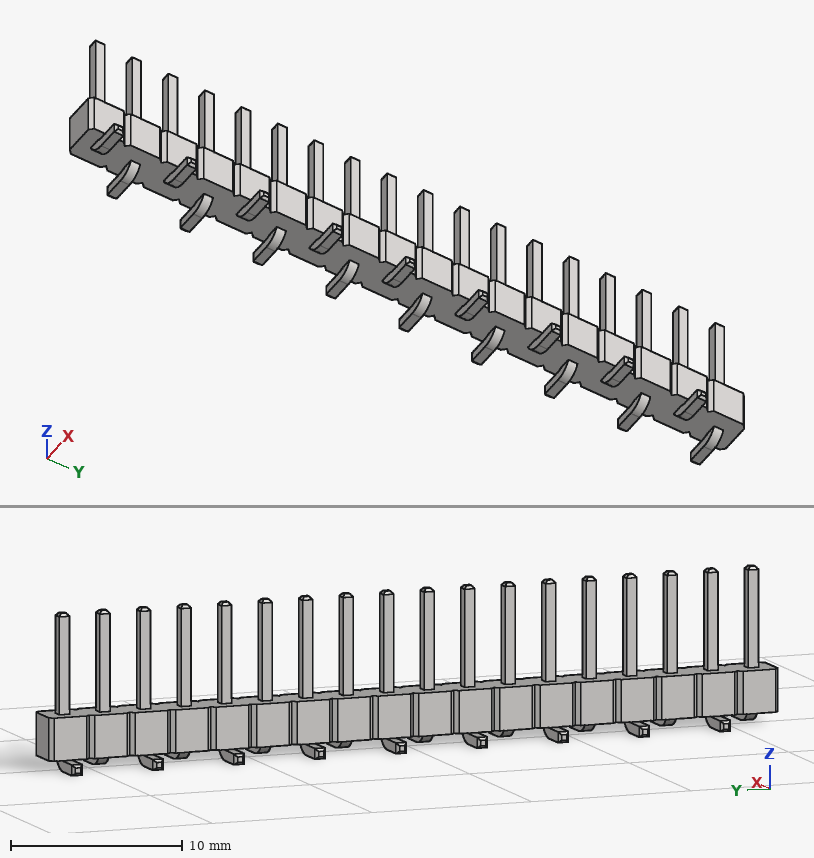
import cadquery as cq
import math

strip_length = 45.7
leg_span = 5.0
total_height = 9.3
pin_count = 18
pitch = strip_length / pin_count

body_width = 2.5
body_height = 2.55
body_bottom = 0.75
corner_chamfer = 0.25

pin_size = 0.65
tip_length = 0.2
tip_inset = 0.16
inner_bend_radius = 0.6

half_pin = pin_size / 2
leg_reach = leg_span / 2
outer_bend_radius = inner_bend_radius + pin_size
bend_center_x = -half_pin - inner_bend_radius
bend_center_z = outer_bend_radius


def body_segment(y_center):
    """One block of the body with its four vertical edges chamfered."""
    return (
        cq.Workplane("XY")
        .box(body_width, pitch, body_height, centered=(True, True, False))
        .edges("|Z")
        .chamfer(corner_chamfer)
        .translate((0, y_center, body_bottom))
    )


def tapered_tip(plane):
    """Four-sided taper at the end of a pin, standing on the given plane."""
    end_size = pin_size - 2 * tip_inset
    return (
        cq.Workplane(plane)
        .rect(pin_size, pin_size)
        .workplane(offset=tip_length)
        .rect(end_size, end_size)
        .loft(ruled=True)
    )


def bend_middle(radius):
    """Point halfway round the quarter bend, at the given radius."""
    reach = radius * math.sqrt(0.5)
    return (bend_center_x + reach, bend_center_z - reach)


def bent_pin():
    """Upright pin with its leg pointing to -X, joined by a concentric quarter bend."""
    leg_shoulder = -(leg_reach - tip_length)
    pin_shoulder = total_height - tip_length
    bar = (
        cq.Workplane("XZ")
        .moveTo(leg_shoulder, 0)
        .lineTo(bend_center_x, 0)
        .threePointArc(bend_middle(outer_bend_radius), (half_pin, bend_center_z))
        .lineTo(half_pin, pin_shoulder)
        .lineTo(-half_pin, pin_shoulder)
        .lineTo(-half_pin, bend_center_z)
        .threePointArc(bend_middle(inner_bend_radius), (bend_center_x, pin_size))
        .lineTo(leg_shoulder, pin_size)
        .close()
        .extrude(half_pin, both=True)
    )
    top_plane = cq.Plane(origin=(0, 0, pin_shoulder), xDir=(1, 0, 0), normal=(0, 0, 1))
    leg_plane = cq.Plane(origin=(leg_shoulder, 0, half_pin), xDir=(0, 1, 0), normal=(-1, 0, 0))
    return bar.union(tapered_tip(top_plane)).union(tapered_tip(leg_plane))


left_pin = bent_pin()
right_pin = left_pin.rotate((0, 0, 0), (0, 0, 1), 180)

result = cq.Workplane("XY")
for index in range(pin_count):
    y_center = (index + 0.5) * pitch - strip_length / 2
    pin = right_pin if index % 2 == 0 else left_pin
    segment = body_segment(y_center).union(pin.translate((0, y_center, 0)))
    result = result.union(segment)